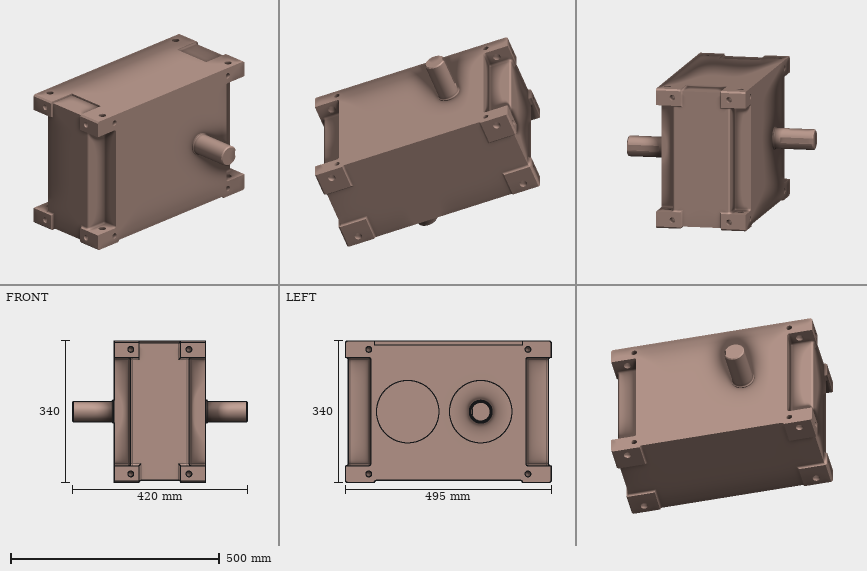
import cadquery as cq
import math

width = 220.0
length = 495.0
height = 340.0
foot_width = 60.0
foot_height = 40.0
foot_chamfer = 4.0
end_recess = 7.0
base_recess = 5.0
blend = 5.0
pocket_depth_x = 39.5
pocket_depth_y = 61.5
feet_gap_y = 355.0

mount_hole_dia = 18.0
mount_spacing_x = 179.0
mount_spacing_y = 423.5
tapped_dia = 14.0
tapped_depth = 30.0
tapped_spacing_z = 299.0
end_tapped_spacing_x = 139.5
side_tapped_spacing_y = 382.0
drill_tip_angle = 118.0

plate_thickness = 10.0
axis_spacing = 175.0
axes_middle_y = 10.0
cover_dia = 150.0
cover_thickness = 10.0
shaft_dia = 50.0
shaft_projection = 100.0
shaft_chamfer = 2.5
collar_dia = 55.0
collar_projection = 3.0
keyway_width = 14.0
keyway_depth = 5.5
keyway_length = 80.0

half_width = width / 2
half_length = length / 2
half_height = height / 2
end_wall = half_length - end_recess
feet_gap_x = width - 2 * foot_width
feet_gap_z = height - 2 * foot_height
pocket_wall_x = half_width - pocket_depth_x
pocket_wall_y = half_length - pocket_depth_y
cover_seat = half_width - cover_thickness
clearance = 0.5
signs = (-1, 1)


def box(x_range, y_range, z_range):
    """Box between two opposite corners, given as two limits on each axis in either order."""
    limits = [sorted(axis_range) for axis_range in (x_range, y_range, z_range)]
    sizes = [high - low for low, high in limits]
    corner = cq.Vector(*(low for low, high in limits))
    return cq.Workplane(cq.Solid.makeBox(*sizes, pnt=corner))


def feet_block():
    """Chamfered block cut back at both ends, with four corner pockets, leaving eight feet."""
    body = cq.Workplane("XY").box(width, length, height).edges("|X").chamfer(foot_chamfer)
    full_x = (-half_width, half_width)
    full_z = (-half_height, half_height)
    between_feet_x = (-feet_gap_x / 2, feet_gap_x / 2)
    between_feet_z = (-feet_gap_z / 2, feet_gap_z / 2)
    for side_y in signs:
        recess_y = (side_y * end_wall, side_y * half_length)
        body = body.cut(box(between_feet_x, recess_y, full_z))
        body = body.cut(box(full_x, recess_y, between_feet_z))
        for side_x in signs:
            pocket_x = (side_x * pocket_wall_x, side_x * half_width)
            pocket_y = (side_y * pocket_wall_y, side_y * half_length)
            body = body.cut(box(pocket_x, pocket_y, between_feet_z))
    return body


def blend_end_corners(body):
    """Round every edge of the end walls and pockets that lies inside the outer block."""
    reach = (half_width - clearance, end_wall + clearance, half_height - clearance)
    inside = cq.selectors.BoxSelector(tuple(-r for r in reach), reach)
    return body.edges(inside).fillet(blend)


def recess_profile(plane, gap, side, left_blend=True):
    """Base recess section on the top (side 1) or bottom (side -1) with rounded inner corners."""
    mouth = side * (half_height + clearance)
    floor = side * (half_height - base_recess)
    half_gap = gap / 2
    diagonal = blend * (1 - math.sqrt(0.5))
    arc_x = half_gap - diagonal
    arc_z = floor + side * diagonal
    section = cq.Workplane(plane).moveTo(half_gap, mouth)
    section = section.lineTo(half_gap, floor + side * blend)
    section = section.threePointArc((arc_x, arc_z), (half_gap - blend, floor))
    if left_blend:
        section = section.lineTo(-half_gap + blend, floor)
        section = section.threePointArc((-arc_x, arc_z), (-half_gap, floor + side * blend))
    else:
        section = section.lineTo(-half_gap, floor)
    return section.lineTo(-half_gap, mouth).close()


def cut_bottom_recess(body):
    """Cross-shaped recess between the four lower feet."""
    along_y = recess_profile("XZ", feet_gap_x, -1).extrude(half_length, both=True)
    along_x = recess_profile("YZ", feet_gap_y, -1).extrude(half_width, both=True)
    return body.cut(along_y).cut(along_x)


def cut_top_recess(body):
    """Recess between the upper feet; the -X, -Y foot has a sharp inner side."""
    back = recess_profile("XZ", feet_gap_x, 1).extrude(-half_length)
    front = recess_profile("XZ", feet_gap_x, 1, left_blend=False).extrude(half_length)
    foot_side = -feet_gap_x / 2
    sharp_side = box(
        (foot_side, foot_side + blend),
        (-half_length, -end_wall),
        (feet_gap_z / 2 - blend, half_height),
    )
    return body.cut(back).cut(front).cut(sharp_side)


def tapped_hole(center, direction):
    """Blind drilled hole with a conical tip, entering at center along direction."""
    radius = tapped_dia / 2
    tip_length = radius / math.tan(math.radians(drill_tip_angle / 2))
    start = cq.Vector(*center)
    heading = cq.Vector(*direction)
    bore = cq.Solid.makeCylinder(radius, tapped_depth, start, heading)
    tip = cq.Solid.makeCone(radius, 0, tip_length, start + heading * tapped_depth, heading)
    return bore.fuse(tip)


def drill_feet(body):
    """Vertical mounting holes through the feet, and tapped holes in their end and side faces."""
    mounts = (
        cq.Workplane("XY", origin=(0, 0, -half_height))
        .rarray(mount_spacing_x, mount_spacing_y, 2, 2)
        .circle(mount_hole_dia / 2)
        .extrude(height)
    )
    body = body.cut(mounts)
    for side in signs:
        for across in signs:
            for up in signs:
                z = up * tapped_spacing_z / 2
                end_point = (across * end_tapped_spacing_x / 2, side * half_length, z)
                side_point = (side * half_width, across * side_tapped_spacing_y / 2, z)
                body = body.cut(tapped_hole(end_point, (0, -side, 0)))
                body = body.cut(tapped_hole(side_point, (-side, 0, 0)))
    return body


def make_housing():
    """Finished housing with seats for the top plate and the four bearing covers."""
    body = blend_end_corners(feet_block())
    body = cut_bottom_recess(body)
    body = cut_top_recess(body)
    body = drill_feet(body).cut(make_plate())
    for side in signs:
        for axis in signs:
            body = body.cut(cover_disc(cover_dia, side, axis))
    return body


def make_plate():
    """Plate across the full width, flush with the tops of the upper feet."""
    return box(
        (-half_width, half_width),
        (-feet_gap_y / 2, feet_gap_y / 2),
        (half_height - plate_thickness, half_height),
    )


def axis_y(axis):
    """Y position of the shaft axis on the given side of the pair."""
    return axes_middle_y + axis * axis_spacing / 2


def on_axis(diameter, x_start, x_end, axis):
    """Cylinder along X on one of the two shaft axes."""
    plane = cq.Workplane("YZ", origin=(x_start, axis_y(axis), 0))
    return plane.circle(diameter / 2).extrude(x_end - x_start)


def cover_disc(diameter, side, axis):
    """Disc as thick as a bearing cover, flush with the housing side."""
    return on_axis(diameter, side * cover_seat, side * half_width, axis)


def make_cover(side, axis):
    """Cover flush with the housing side, bored for the shaft where one leaves that side."""
    cover = cover_disc(cover_dia, side, axis)
    if axis == side:
        cover = cover.cut(cover_disc(collar_dia, side, axis))
    return cover


def make_shaft(side):
    """Stub shaft with a blended collar and an end keyway, leaving the housing on the given X side."""
    collar_radius = collar_dia / 2
    radius = shaft_dia / 2
    step = collar_radius - radius
    collar_end = half_width + collar_projection
    tip = half_width + shaft_projection
    arc_offset = step * (1 - math.sqrt(0.5))
    profile = (
        cq.Workplane("XY")
        .moveTo(side * cover_seat, 0)
        .lineTo(side * cover_seat, collar_radius)
        .lineTo(side * collar_end, collar_radius)
        .threePointArc(
            (side * (collar_end + arc_offset), radius + arc_offset),
            (side * (collar_end + step), radius),
        )
        .lineTo(side * (tip - shaft_chamfer), radius)
        .lineTo(side * tip, radius - shaft_chamfer)
        .lineTo(side * tip, 0)
        .close()
    )
    shaft = profile.revolve(360, (0, 0, 0), (1, 0, 0))
    keyway = box(
        (side * (tip - keyway_length), side * tip),
        (radius - keyway_depth, radius),
        (-keyway_width / 2, keyway_width / 2),
    )
    return shaft.cut(keyway).translate((0, axis_y(side), 0))


housing = make_housing()
plate = make_plate()
covers = [make_cover(side, axis) for side in signs for axis in signs]
shafts = [make_shaft(side) for side in signs]

result = cq.Compound.makeCompound([
    housing.val(),
    plate.val(),
    *(cover.val() for cover in covers),
    *(shaft.val() for shaft in shafts),
])